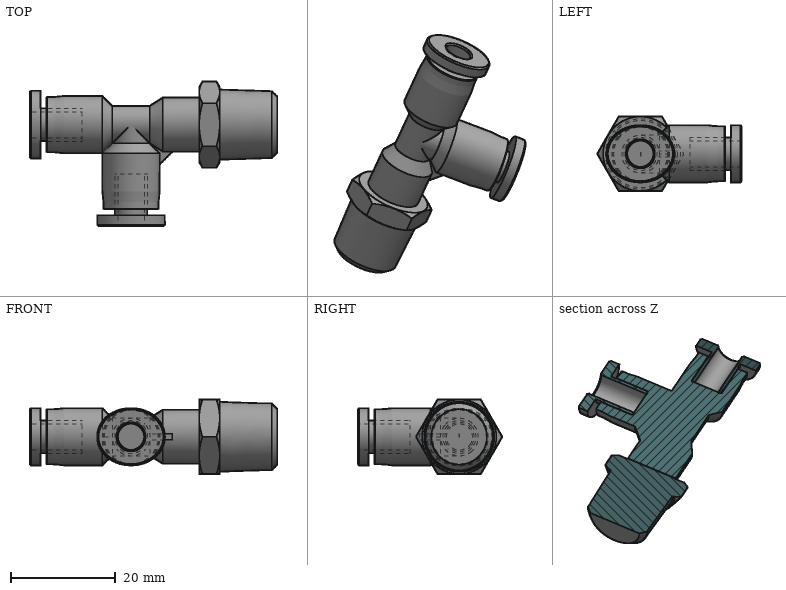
import cadquery as cq
import math

PORT_REACH = 19.4
BRANCH_TURN = 90

FLANGE_WIDTH = 13.0
FLANGE_HEIGHT = 11.0
FLANGE_THICKNESS = 2.1
FLANGE_CHAMFER = 0.3
RING_NECK_DIAMETER = 6.3
RING_NECK_LENGTH = 1.1
TUBE_BORE_DIAMETER = 5.0
TUBE_BORE_CHAMFER = 0.3
RING_LENGTH = 10.0

CORE_DIAMETER = 7.2
SLEEVE_DIAMETER = 11.0
SLEEVE_RIM_DIAMETER = 10.6
SLEEVE_RIM_CHAMFER = 0.15
SLEEVE_RIM_LENGTH = 1.4
SLEEVE_TAPER_LENGTH = 2.0
HUB_DIAMETER = 10.4
HUB_CONE_LENGTH = 2.5
RIB_THICKNESS = 1.1
RIB_REACH = 13.1

HEX_START = 13.0
HEX_THICKNESS = 4.0
HEX_ACROSS_FLATS = 14.29
HEX_FACE_DIAMETER = 14.2
HEX_CHAMFER_ANGLE = 30.0
STUD_END = 28.0
THREAD_CHAMFER = 1.1
THREAD_BASE_DIAMETER = 13.45
THREAD_TAPER = 1 / 16

core_radius = CORE_DIAMETER / 2
sleeve_radius = SLEEVE_DIAMETER / 2
rim_radius = SLEEVE_RIM_DIAMETER / 2
hub_radius = HUB_DIAMETER / 2
bore_radius = TUBE_BORE_DIAMETER / 2
sleeve_face = PORT_REACH - FLANGE_THICKNESS - RING_NECK_LENGTH


def turned(profile):
    """Solid of revolution about X from (x, radius) points."""
    return cq.Workplane("XY").polyline(profile).close().revolve(360, (0, 0, 0), (1, 0, 0))


def on_branch(shape):
    """Copy of a -X port feature, turned onto the -Y branch."""
    return shape.rotate((0, 0, 0), (0, 0, 1), BRANCH_TURN)


def ring_tube():
    """Solid cylinder behind the -X flange; also the shape of the socket that takes it."""
    return (
        cq.Workplane("YZ", origin=(FLANGE_THICKNESS - PORT_REACH, 0, 0))
        .circle(RING_NECK_DIAMETER / 2)
        .extrude(RING_LENGTH - FLANGE_THICKNESS)
    )


def release_ring():
    """Oval flange and round tube of the -X port, bored through and chamfered at the mouth."""
    flange = (
        cq.Workplane("YZ", origin=(-PORT_REACH, 0, 0))
        .ellipse(FLANGE_WIDTH / 2, FLANGE_HEIGHT / 2)
        .extrude(FLANGE_THICKNESS)
        .faces("<X")
        .chamfer(FLANGE_CHAMFER)
    )
    ring_end = RING_LENGTH - PORT_REACH
    bore = turned([
        (-PORT_REACH, 0),
        (-PORT_REACH, bore_radius + TUBE_BORE_CHAMFER),
        (-PORT_REACH + TUBE_BORE_CHAMFER, bore_radius),
        (ring_end, bore_radius),
        (ring_end, 0),
    ])
    return flange.union(ring_tube()).cut(bore)


def sleeve():
    """Socket of the -X port, running from the tee centre to the sleeve face."""
    shoulder = sleeve_radius
    cone_length = sleeve_radius - core_radius
    rim_start = sleeve_face - SLEEVE_RIM_LENGTH
    return turned([
        (0, 0),
        (0, core_radius),
        (cone_length - shoulder, core_radius),
        (-shoulder, sleeve_radius),
        (SLEEVE_TAPER_LENGTH - rim_start, sleeve_radius),
        (-rim_start, rim_radius),
        (SLEEVE_RIM_CHAMFER - sleeve_face, rim_radius),
        (-sleeve_face, rim_radius - SLEEVE_RIM_CHAMFER),
        (-sleeve_face, 0),
    ])


def hub():
    """Run of the tee from its centre to the stud."""
    return turned([
        (0, 0),
        (0, core_radius),
        (core_radius, core_radius),
        (core_radius + HUB_CONE_LENGTH, hub_radius),
        (HEX_START, hub_radius),
        (HEX_START, 0),
    ])


def rib():
    """Triangular web in the corner between the hub and the branch."""
    return (
        cq.Workplane("XY", origin=(0, 0, -RIB_THICKNESS / 2))
        .polyline([(0, 0), (RIB_REACH, 0), (0, -RIB_REACH)])
        .close()
        .extrude(RIB_THICKNESS)
    )


def tee_body():
    """Run and branch joined at the centre, with a blind socket for each release ring."""
    body = hub().union(sleeve()).union(on_branch(sleeve())).union(rib())
    return body.cut(ring_tube()).cut(on_branch(ring_tube()))


def hexagon():
    """Hexagonal collar with flats facing +Z and -Z and chamfered corners."""
    corner_radius = HEX_ACROSS_FLATS / math.sqrt(3)
    face_radius = HEX_FACE_DIAMETER / 2
    chamfer_length = (corner_radius - face_radius) * math.tan(math.radians(HEX_CHAMFER_ANGLE))
    hex_end = HEX_START + HEX_THICKNESS
    prism = (
        cq.Workplane("YZ", origin=(HEX_START, 0, 0))
        .polygon(6, 2 * corner_radius)
        .extrude(HEX_THICKNESS)
    )
    envelope = turned([
        (HEX_START, 0),
        (HEX_START, face_radius),
        (HEX_START + chamfer_length, corner_radius),
        (hex_end - chamfer_length, corner_radius),
        (hex_end, face_radius),
        (hex_end, 0),
    ])
    return prism.intersect(envelope)


def threaded_stud():
    """Hexagonal collar and the tapered thread, modelled at its outer diameter."""
    thread_start = HEX_START + HEX_THICKNESS
    chamfer_start = STUD_END - THREAD_CHAMFER
    base_radius = THREAD_BASE_DIAMETER / 2
    tip_radius = base_radius - THREAD_TAPER * (chamfer_start - thread_start) / 2
    thread = turned([
        (thread_start, 0),
        (thread_start, base_radius),
        (chamfer_start, tip_radius),
        (STUD_END, tip_radius - THREAD_CHAMFER),
        (STUD_END, 0),
    ])
    return hexagon().union(thread)


tee = tee_body()
stud = threaded_stud()
run_ring = release_ring()
branch_ring = on_branch(release_ring())

result = cq.Compound.makeCompound([tee.val(), stud.val(), run_ring.val(), branch_ring.val()])